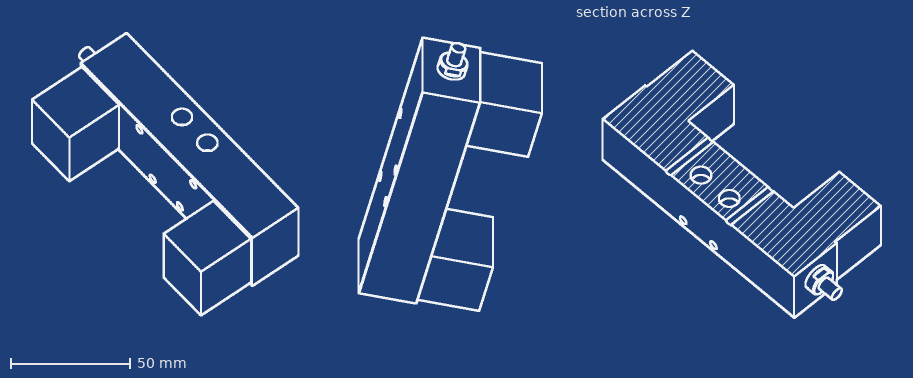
import cadquery as cq

total_length = 127.5
total_depth = 51.8
body_height = 35.0
body_depth = 25.0
body_length = 114.8
body_edge_chamfer = 0.3

coil_width = 25.0
coil_height = 32.0
coil_end_inset = 0.9
coil_depth = total_depth - body_depth

collar_diameter = 11.9
collar_length = 5.0
collar_chamfer = 0.4
flat_spacing = 10.1
flat_length = 3.0
cable_diameter = 6.0
connector_length = total_length - body_length

mount_diameter = 4.0
mount_z = 13.0
upper_mount_x = 18.0
lower_mount_x = 9.0

port_diameter = 8.5
port_depth = 11.5
port_from_back = 9.0
port_centres_x = (-9.3, 7.6)

body_left = -body_length / 2
body_front = -body_depth / 2
body_top = body_height / 2


def make_body():
    """Rectangular body with its four long edges broken."""
    body = cq.Workplane("XY").box(body_length, body_depth, body_height)
    return body.edges("|X").chamfer(body_edge_chamfer)


def make_coils():
    """Two matching blocks standing out from the front face."""
    centre_x = body_length / 2 - coil_end_inset - coil_width / 2
    return (
        cq.Workplane("XZ", origin=(0, body_front, 0))
        .pushPoints([(-centre_x, 0), (centre_x, 0)])
        .rect(coil_width, coil_height)
        .extrude(coil_depth)
    )


def make_connector():
    """Round collar with two wrench flats, and the cable leaving its end."""
    end_plane = cq.Workplane("YZ", origin=(body_left, 0, 0))
    collar = end_plane.circle(collar_diameter / 2).extrude(-collar_length)
    collar = collar.faces("<X").chamfer(collar_chamfer)
    flat_cut_height = collar_diameter - flat_spacing
    for side in (-1, 1):
        flat_cutter = cq.Workplane("XY").box(flat_length, collar_diameter, flat_cut_height)
        flat_cutter = flat_cutter.translate((
            body_left - collar_length + flat_length / 2,
            0,
            side * (flat_spacing + flat_cut_height) / 2,
        ))
        collar = collar.cut(flat_cutter)
    cable = end_plane.circle(cable_diameter / 2).extrude(-connector_length)
    return collar.union(cable)


def make_mount_holes():
    """Four cylinders through the full depth of the body."""
    centres = []
    for side in (-1, 1):
        centres.append((side * upper_mount_x, mount_z))
        centres.append((side * lower_mount_x, -mount_z))
    return (
        cq.Workplane("XZ", origin=(0, body_front, 0))
        .pushPoints(centres)
        .circle(mount_diameter / 2)
        .extrude(-body_depth)
    )


def make_ports():
    """Two blind cylinders going down from the top face."""
    port_y = body_depth / 2 - port_from_back
    return (
        cq.Workplane("XY", origin=(0, 0, body_top))
        .pushPoints([(x, port_y) for x in port_centres_x])
        .circle(port_diameter / 2)
        .extrude(-port_depth)
    )


result = (
    make_body()
    .union(make_coils())
    .union(make_connector())
    .cut(make_mount_holes())
    .cut(make_ports())
)